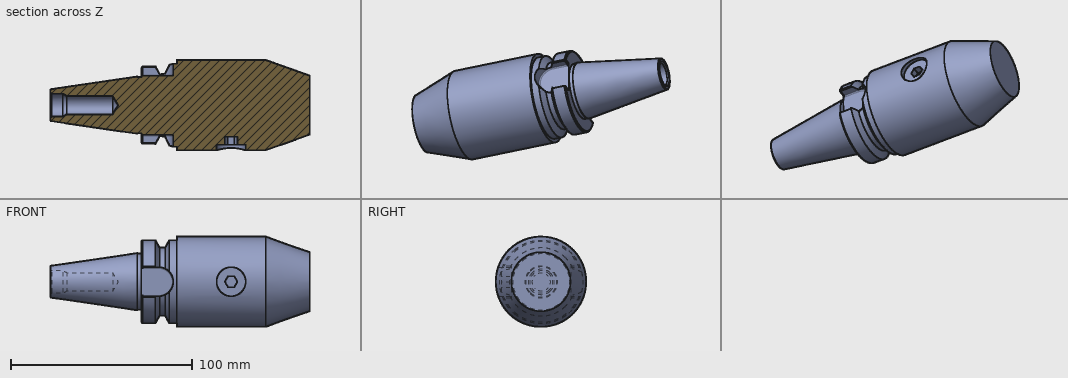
import cadquery as cq
import math

length = 143.4
body_radius = 50.0 / 2
flange_radius = 46.0 / 2
groove_radius = 19.0
nose_radius = 16.3

taper_end = 48.2
taper_small_radius = 8.9
taper_ratio = 7 / 24
taper_large_radius = taper_small_radius + taper_end * taper_ratio / 2
neck_radius = 15.6
tip_chamfer = 0.5

flange_start = 50.3
flange_chamfer = 0.7
flange_end = 58.1
groove_flank_angle = 30
groove_flank = (flange_radius - groove_radius) * math.tan(math.radians(groove_flank_angle))
collar_start = 65.8
body_start = 70.0
nose_start = 119.0

slot_half_width = 8.0
slot_floor = 16.3
slot_tip = 68.0
slot_mouth_chamfer = 0.7
slot_entry_overrun = 1.5
slot_floor_fillet = 0.6
slot_rim_bevel = 0.7

bore_radius = 12.5 / 2
bore_depth = 7.0
bore_mouth_chamfer = 0.9
thread_radius = 10.0 / 2
bore_step_angle = 30
bore_step_length = (bore_radius - thread_radius) / math.tan(math.radians(bore_step_angle))
thread_depth = 34.4
drill_half_angle = 59
drill_cone_height = thread_radius / math.tan(math.radians(drill_half_angle))

screw_x = 100.0
screw_radius = 16.0 / 2
screw_recess = 3.2
screw_face = body_radius - screw_recess
hex_across_flats = 6.0
hex_depth = 4.3
hex_sides = 6


def revolve_profile(points):
    """Revolve a closed (x, radius) profile about the X axis."""
    return cq.Workplane("XY").polyline(points).close().revolve(360, (0, 0, 0), (1, 0, 0))


def holder_blank():
    return revolve_profile([
        (0, 0),
        (0, taper_small_radius - tip_chamfer),
        (tip_chamfer, taper_small_radius),
        (taper_end, taper_large_radius),
        (taper_end, neck_radius),
        (flange_start, neck_radius),
        (flange_start, flange_radius - flange_chamfer),
        (flange_start + flange_chamfer, flange_radius),
        (flange_end, flange_radius),
        (flange_end + groove_flank, groove_radius),
        (collar_start - groove_flank, groove_radius),
        (collar_start, flange_radius),
        (body_start, flange_radius),
        (body_start, body_radius),
        (nose_start, body_radius),
        (length, nose_radius),
        (length, 0),
    ])


def pull_stud_bore():
    return revolve_profile([
        (0, 0),
        (0, bore_radius + bore_mouth_chamfer),
        (bore_mouth_chamfer, bore_radius),
        (bore_depth, bore_radius),
        (bore_depth + bore_step_length, thread_radius),
        (thread_depth, thread_radius),
        (thread_depth + drill_cone_height, 0),
    ])


def drive_slot():
    """Round-ended slot on the -Y side, with a filleted floor and bevelled wall edges."""
    slot_depth = body_radius - slot_floor
    floor_plane = cq.Workplane("XZ", origin=(0, -slot_floor, 0))
    arc_center = slot_tip - slot_half_width
    entry = flange_start - slot_entry_overrun
    slot = (
        floor_plane
        .moveTo(entry, -slot_half_width)
        .lineTo(arc_center, -slot_half_width)
        .threePointArc((slot_tip, 0), (arc_center, slot_half_width))
        .lineTo(entry, slot_half_width)
        .close()
        .extrude(slot_depth)
    )
    slot = slot.faces(">Y").edges("not <X").fillet(slot_floor_fillet)

    mouth_half_width = slot_half_width + slot_mouth_chamfer
    mouth_end = flange_start + slot_mouth_chamfer
    mouth = (
        floor_plane
        .polyline([
            (flange_start, -mouth_half_width),
            (mouth_end, -slot_half_width),
            (mouth_end, slot_half_width),
            (flange_start, mouth_half_width),
        ])
        .close()
        .extrude(slot_depth)
    )

    wall_top = math.sqrt(flange_radius**2 - slot_half_width**2)
    bevel_start = wall_top - slot_rim_bevel
    bevel_half_width = slot_half_width + flange_radius - bevel_start
    rim = (
        cq.Workplane("YZ", origin=(flange_start, 0, 0))
        .polyline([
            (-bevel_start, -slot_half_width),
            (-flange_radius, -bevel_half_width),
            (-flange_radius, bevel_half_width),
            (-bevel_start, slot_half_width),
        ])
        .close()
        .extrude(flange_end - flange_start)
    )
    return slot.union(mouth).union(rim)


def clamping_screw_cut():
    """Recessed round screw face on the -Y side with a hexagon socket."""
    face_plane = cq.Workplane("XZ", origin=(screw_x, -screw_face, 0))
    face_recess = face_plane.circle(screw_radius).extrude(screw_recess)
    hex_diameter = hex_across_flats / math.cos(math.pi / hex_sides)
    socket = face_plane.polygon(hex_sides, hex_diameter).extrude(-hex_depth)
    return face_recess.union(socket)


result = holder_blank().cut(pull_stud_bore()).cut(clamping_screw_cut())
front_slot = drive_slot()
for slot in (front_slot, front_slot.mirror("XZ")):
    result = result.cut(slot)